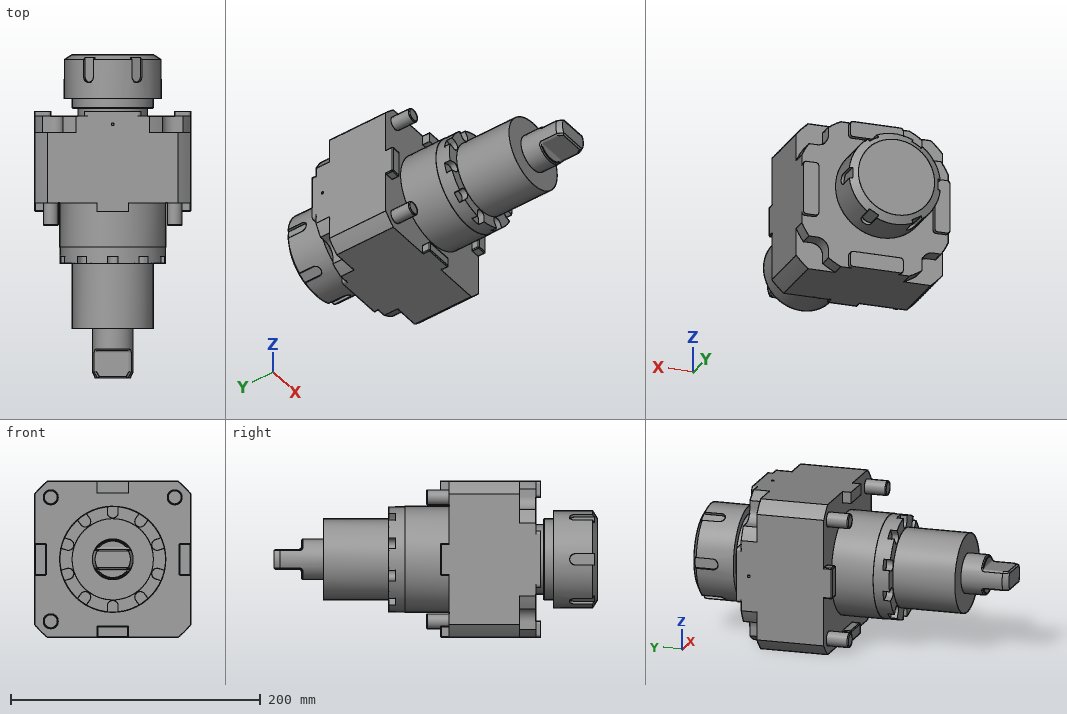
import cadquery as cq


BLOCK_WIDTH = 125.0
BLOCK_CORNER_DIAMETER = 163.0
BLOCK_LENGTH = 56.2
HALF_WIDTH = BLOCK_WIDTH / 2

PLATE_DIAMETER = 138.0
PLATE_THICKNESS = 13.2
PLATE_FACE = BLOCK_LENGTH + PLATE_THICKNESS
SCREW_OFFSET = 49.6
POCKET_RADIUS = 9.8

PAD_LENGTH = 45.2
PAD_WIDTH = 13.0
PAD_HEIGHT = 3.9
PAD_CORNER_RADIUS = 2.5

PIN_HOLE_DIAMETER = 2.1
PIN_HOLE_DEPTH = 5.0
PIN_HOLE_Y = 63.0

SCREW_DIAMETER = 12.0
SCREW_LENGTH = 18.2
SCREW_CHAMFER = 0.8
SCREW_CORNERS = [(-1, 1), (1, 1), (-1, -1)]

KEY_LENGTH = 25.6
KEY_DEPTH = 9.3
KEY_HEIGHT = 7.0
KEY_CHAMFER = 0.8

NECK_DIAMETER = 56.0
COLLAR_DIAMETER = 65.0
COLLAR_START = 75.7
COLLAR_CHAMFER = 0.5
NUT_DIAMETER = 78.0
NUT_START = 83.5
NUT_END = 118.8
NUT_CHAMFER_LENGTH = 4.0
NUT_FACE_DIAMETER = 65.0
NUT_SLOT_COUNT = 6
NUT_SLOT_WIDTH = 9.0
NUT_SLOT_END = 96.5
NUT_SLOT_FLOOR_RADIUS = 36.4

FLANGE_DIAMETER = 85.0
FLANGE_END = 35.1
RING_DIAMETER = 84.5
RING_END = 48.4
SHANK_DIAMETER = 65.0
SHANK_END = 100.5
SHAFT_DIAMETER = 32.7
OVERALL_LENGTH = 258.9
SHAFT_END = OVERALL_LENGTH - NUT_END
SHAFT_TIP_DIAMETER = 28.2
SHAFT_TIP_LENGTH = 5.0

NOTCH_COUNT = 10
NOTCH_WIDTH = 8.8
NOTCH_DEPTH = 5.5
NOTCH_INNER_RADIUS = 33.0

TANG_THICKNESS = 16.0
TANG_SHOULDER = 118.2
TANG_SHOULDER_CHAMFER = 0.5
TANG_ROOT_RADIUS = 1.8
TANG_CHAMFER = 1.25


def y_prism(outline, start, end):
    """Extrude an outline drawn on the XZ plane between two Y positions."""
    return outline.extrude(start - end).translate((0, start, 0))


def profile_plane():
    return cq.Workplane("XZ")


def y_cylinder(diameter, start, end):
    return y_prism(profile_plane().circle(diameter / 2), start, end)


def turn_about_y(body, angle):
    return body.rotate((0, 0, 0), (0, 1, 0), angle)


def turned_square(diameter, start, end):
    square = y_prism(profile_plane().rect(BLOCK_WIDTH, BLOCK_WIDTH), start, end)
    return square.intersect(y_cylinder(diameter, start, end))


def front_plate():
    plate = turned_square(PLATE_DIAMETER, BLOCK_LENGTH, PLATE_FACE)
    wall = SCREW_OFFSET - POCKET_RADIUS
    pocket_size = HALF_WIDTH - wall
    pocket_centre = wall + pocket_size / 2
    pocket = profile_plane().center(pocket_centre, pocket_centre).rect(pocket_size, pocket_size)
    pocket = y_prism(pocket, BLOCK_LENGTH, PLATE_FACE)
    pocket = pocket.edges("|Y and <X and <Z").fillet(POCKET_RADIUS)
    for quarter in range(4):
        plate = plate.cut(turn_about_y(pocket, quarter * 90))
    return plate


def side_pads():
    pad = profile_plane().center(0, HALF_WIDTH - PAD_WIDTH / 2).rect(PAD_LENGTH, PAD_WIDTH)
    pad = y_prism(pad, PLATE_FACE, PLATE_FACE + PAD_HEIGHT).edges("|Y").fillet(PAD_CORNER_RADIUS)
    pads = pad
    for quarter in range(1, 4):
        pads = pads.union(turn_about_y(pad, quarter * 90))
    return pads


def pin_holes():
    top = cq.Workplane("XY", origin=(0, PIN_HOLE_Y, HALF_WIDTH))
    top = top.circle(PIN_HOLE_DIAMETER / 2).extrude(-PIN_HOLE_DEPTH)
    return top.union(turn_about_y(top, -90))


def locating_keys():
    key = profile_plane().center(0, HALF_WIDTH - KEY_DEPTH / 2).rect(KEY_LENGTH, KEY_DEPTH)
    key = y_prism(key, -KEY_HEIGHT, 0)
    keys = key
    chamfered_key = key.edges("|Y or <Y").chamfer(KEY_CHAMFER)
    for quarter in range(1, 4):
        keys = keys.union(turn_about_y(chamfered_key, quarter * 90))
    return keys


def fixing_screws():
    screw = y_cylinder(SCREW_DIAMETER, -SCREW_LENGTH, 0).faces("<Y").chamfer(SCREW_CHAMFER)
    screws = cq.Workplane()
    for side_x, side_z in SCREW_CORNERS:
        screws = screws.union(screw.translate((side_x * SCREW_OFFSET, 0, side_z * SCREW_OFFSET)))
    return screws


def collet_nut():
    nut = y_cylinder(NUT_DIAMETER, NUT_START, NUT_END)
    taper = (NUT_DIAMETER - NUT_FACE_DIAMETER) / 2
    nut = nut.faces(">Y").edges().chamfer(NUT_CHAMFER_LENGTH, taper)
    slot_radius = NUT_SLOT_WIDTH / 2
    straight_start = NUT_SLOT_END + slot_radius
    slot = (
        cq.Workplane("XY", origin=(0, 0, NUT_SLOT_FLOOR_RADIUS))
        .moveTo(-slot_radius, NUT_END)
        .lineTo(-slot_radius, straight_start)
        .threePointArc((0, NUT_SLOT_END), (slot_radius, straight_start))
        .lineTo(slot_radius, NUT_END)
        .close()
        .extrude(NUT_DIAMETER / 2)
    )
    pitch = 360 / NUT_SLOT_COUNT
    for index in range(NUT_SLOT_COUNT):
        nut = nut.cut(turn_about_y(slot, (index + 0.5) * pitch))
    return nut


def spindle_nose():
    neck = y_cylinder(NECK_DIAMETER, PLATE_FACE, COLLAR_START)
    collar = y_cylinder(COLLAR_DIAMETER, COLLAR_START, NUT_START)
    collar = collar.faces("<Y").chamfer(COLLAR_CHAMFER)
    return neck.union(collar).union(collet_nut())


def notched_ring():
    ring = y_cylinder(RING_DIAMETER, -RING_END, -FLANGE_END)
    notch_radius = NOTCH_WIDTH / 2
    straight_start = NOTCH_INNER_RADIUS + notch_radius
    notch = (
        profile_plane()
        .moveTo(-notch_radius, RING_DIAMETER)
        .lineTo(-notch_radius, straight_start)
        .threePointArc((0, NOTCH_INNER_RADIUS), (notch_radius, straight_start))
        .lineTo(notch_radius, RING_DIAMETER)
        .close()
    )
    notch = y_prism(notch, -RING_END, -RING_END + NOTCH_DEPTH)
    for index in range(NOTCH_COUNT):
        ring = ring.cut(turn_about_y(notch, index * 360 / NOTCH_COUNT))
    return ring


def drive_shaft():
    shaft = y_cylinder(SHAFT_DIAMETER, -SHAFT_END, -SHANK_END)
    taper = (SHAFT_DIAMETER - SHAFT_TIP_DIAMETER) / 2
    shaft = shaft.faces("<Y").edges().chamfer(SHAFT_TIP_LENGTH, taper)
    flat_length = SHAFT_END - TANG_SHOULDER
    flat_middle = -(SHAFT_END + TANG_SHOULDER) / 2
    for side in (-1, 1):
        waste = cq.Workplane("XY").box(SHAFT_DIAMETER, flat_length, SHAFT_DIAMETER)
        waste = waste.translate((0, flat_middle, side * (TANG_THICKNESS + SHAFT_DIAMETER) / 2))
        inner_edge = "<Z" if side > 0 else ">Z"
        waste = waste.edges(f">Y and {inner_edge}").fillet(TANG_ROOT_RADIUS)
        shaft = shaft.cut(waste)
    root_end = -TANG_SHOULDER - TANG_ROOT_RADIUS
    tang_edges = cq.selectors.BoxSelector(
        (-SHAFT_DIAMETER, root_end - TANG_CHAMFER, -TANG_THICKNESS),
        (SHAFT_DIAMETER, -SHAFT_END - TANG_CHAMFER, TANG_THICKNESS),
    )
    shaft = shaft.faces("|Z").edges(tang_edges).chamfer(TANG_CHAMFER)
    rim_region = cq.selectors.BoxSelector(
        (-SHAFT_DIAMETER, -TANG_SHOULDER - TANG_ROOT_RADIUS / 2, -SHAFT_DIAMETER),
        (SHAFT_DIAMETER, -TANG_SHOULDER + TANG_ROOT_RADIUS / 2, SHAFT_DIAMETER),
    )
    shoulders = shaft.faces("|Y").faces(rim_region)
    return shoulders.edges("%CIRCLE").chamfer(TANG_SHOULDER_CHAMFER)


def shank():
    flange = y_cylinder(FLANGE_DIAMETER, -FLANGE_END, 0)
    body = y_cylinder(SHANK_DIAMETER, -SHANK_END, -RING_END)
    return flange.union(notched_ring()).union(body).union(drive_shaft())


block = turned_square(BLOCK_CORNER_DIAMETER, 0, BLOCK_LENGTH)
housing = block.union(front_plate()).union(side_pads()).cut(pin_holes())
result = housing.union(locating_keys()).union(fixing_screws()).union(spindle_nose()).union(shank())